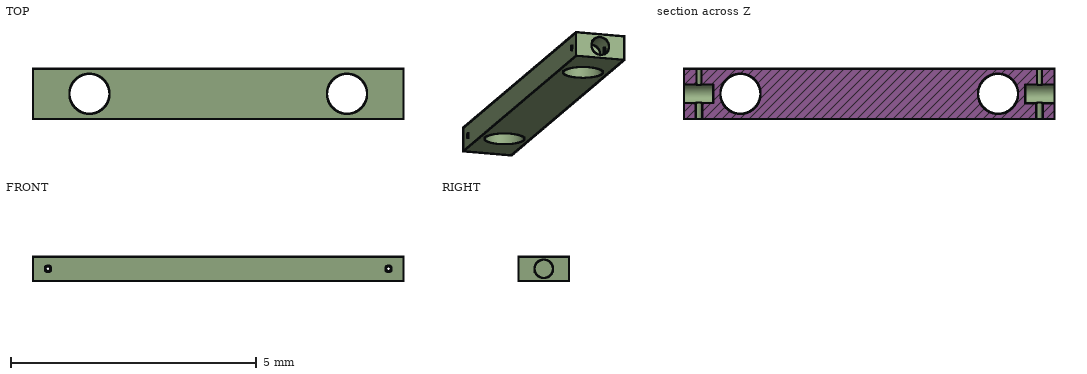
import cadquery as cq

FACE_CENTRE = "CenterOfBoundBox"

LENGTH = 7.56
WIDTH = 1.03
HEIGHT = 0.5

MOUNT_HOLE_DIAMETER = 0.812
MOUNT_HOLE_SPACING = 5.25

END_BORE_DIAMETER = 0.375
END_BORE_DEPTH = 0.6

CROSS_HOLE_DIAMETER = 0.13
CROSS_HOLE_EXIT_DIAMETER = 0.1
CROSS_HOLE_WIDE_DEPTH = WIDTH / 2
CROSS_HOLE_END_DISTANCE = 0.31


def make_bar():
    return cq.Workplane("XY").box(LENGTH, WIDTH, HEIGHT)


def mirrored_pair(spacing):
    return [(-spacing / 2, 0), (spacing / 2, 0)]


def cut_mount_holes(body):
    face = body.faces(">Z").workplane(centerOption=FACE_CENTRE)
    return face.pushPoints(mirrored_pair(MOUNT_HOLE_SPACING)).hole(MOUNT_HOLE_DIAMETER)


def cut_end_bores(body):
    for end_face in ("<X", ">X"):
        face = body.faces(end_face).workplane(centerOption=FACE_CENTRE)
        body = face.hole(END_BORE_DIAMETER, END_BORE_DEPTH)
    return body


def cut_cross_holes(body):
    centres = mirrored_pair(LENGTH - 2 * CROSS_HOLE_END_DISTANCE)
    face = body.faces("<Y").workplane(centerOption=FACE_CENTRE)
    return face.pushPoints(centres).cboreHole(
        CROSS_HOLE_EXIT_DIAMETER, CROSS_HOLE_DIAMETER, CROSS_HOLE_WIDE_DEPTH
    )


result = make_bar()
result = cut_mount_holes(result)
result = cut_end_bores(result)
result = cut_cross_holes(result)